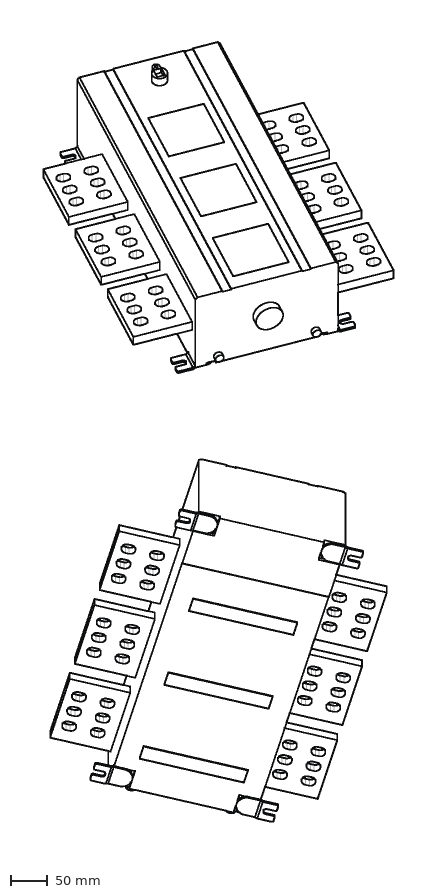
import cadquery as cq


overall_length = 472.5
boss_length = 11.5
body_length = overall_length - boss_length
body_width = 206.5
body_height = 133.0
top_edge_chamfer = 3.5
base_clearance = 1.65
end_foot_length = 85.0
rib_width = 21.0

groove_width = 12.8
groove_depth = 1.5
groove_offset = 57.5

pole_count = 3
pole_pitch = 125.5
bar_width = 100.0
bar_thickness = 15.0
bar_span = 376.5
bar_center_z = 69.5
first_pole_x = 147.5
label_size = 80.5
label_depth = 0.5
pole_positions = [first_pole_x + i * pole_pitch for i in range(pole_count)]

bolt_hole_width = 14.0
bolt_hole_length = 19.5
bolt_pitch_x = 25.0
bolt_pitch_y = 40.0
bolt_end_distance = 20.0
bolt_columns = 3
bolt_rows = 2

foot_width = 28.5
foot_thickness = 3.5
foot_rise = 2.0
foot_reach = 129.0
foot_inset = 30.0
foot_slope_length = 3.5
foot_tip_radius = 2.5
foot_slot_width = 8.5
foot_slot_depth = 18.0
left_foot_x = 15.5
right_foot_x = body_length - foot_width / 2
recess_size = foot_inset
rib_span = body_width - 2 * recess_size

boss_diameter = 39.0
boss_z = 70.0
button_diameter = 12.5
button_length = 6.5
button_offset = 70.5
button_z = 14.0

lock_x = 43.0
lock_diameter = 21.5
lock_height = 13.0
keyway_width = 11.5
keyway_left = 35.0
keyway_right = 49.0
keyway_depth = 8.0
nose_x = 30.0
nose_width = 10.5
nose_height = 9.0
eye_diameter = 4.0


def block(x_min, x_max, width_y, z_min, z_max):
    """Box centred on Y, given by its X and Z limits."""
    base = cq.Workplane("XY", origin=((x_min + x_max) / 2, 0, z_min))
    return base.rect(x_max - x_min, width_y).extrude(z_max - z_min)


def make_housing():
    housing = block(0, body_length, body_width, base_clearance, body_height)
    housing = housing.edges("|X and >Z").chamfer(top_edge_chamfer)
    housing = housing.union(block(0, end_foot_length, body_width, 0, base_clearance))
    for pole_x in pole_positions:
        rib = block(pole_x - rib_width / 2, pole_x + rib_width / 2, rib_span, 0, base_clearance)
        housing = housing.union(rib)
    for side in (-1, 1):
        groove = block(0, body_length, groove_width, body_height - groove_depth, body_height)
        housing = housing.cut(groove.translate((0, side * groove_offset, 0)))
    for pole_x in pole_positions:
        label_left = pole_x - label_size / 2
        label = block(label_left, label_left + label_size, label_size, body_height - label_depth, body_height)
        housing = housing.cut(label)
    return housing


def make_corner_recesses():
    """Four square pockets, one under each corner of the housing."""
    pocket_span = 2 * recess_size
    pocket_height = foot_rise + foot_thickness
    corners = cq.Workplane("XY").rect(body_length, body_width, forConstruction=True).vertices()
    pockets = corners.rect(pocket_span, pocket_span).extrude(pocket_height)
    return pockets.translate((body_length / 2, 0, 0))


def make_foot(center_x):
    """Foot on the +Y side: the inner part is raised, the outer part lies on the mounting plane."""
    wall_y = body_width / 2
    inner_y = wall_y - foot_inset
    slope_end_y = wall_y + foot_slope_length
    side_profile = [
        (inner_y, foot_rise),
        (wall_y, foot_rise),
        (slope_end_y, 0),
        (foot_reach, 0),
        (foot_reach, foot_thickness),
        (slope_end_y, foot_thickness),
        (wall_y, foot_rise + foot_thickness),
        (inner_y, foot_rise + foot_thickness),
    ]
    strap = cq.Workplane("YZ").polyline(side_profile).close().extrude(foot_width / 2, both=True)

    half_width = foot_width / 2
    cut_height = foot_rise + foot_thickness
    plan = (
        cq.Workplane("XY")
        .moveTo(-half_width, foot_reach)
        .lineTo(-half_width, inner_y + half_width)
        .threePointArc((0, inner_y), (half_width, inner_y + half_width))
        .lineTo(half_width, foot_reach)
        .close()
        .extrude(cut_height)
    )
    slot = (
        cq.Workplane("XY", origin=(0, foot_reach, 0))
        .slot2D(2 * foot_slot_depth, foot_slot_width, 90)
        .extrude(cut_height)
    )
    plan = plan.cut(slot).edges("|Z and >Y").fillet(foot_tip_radius)
    return strap.intersect(plan).translate((center_x, 0, 0))


def make_terminal_bar(pole_x):
    bar = block(
        pole_x - bar_width / 2,
        pole_x + bar_width / 2,
        bar_span,
        bar_center_z - bar_thickness / 2,
        bar_center_z + bar_thickness / 2,
    )
    group_y = bar_span / 2 - bolt_end_distance - bolt_pitch_y * (bolt_rows - 1) / 2
    for side in (-1, 1):
        holes = (
            cq.Workplane("XY", origin=(pole_x, side * group_y, 0))
            .rarray(bolt_pitch_x, bolt_pitch_y, bolt_columns, bolt_rows)
            .slot2D(bolt_hole_length, bolt_hole_width, 90)
            .extrude(body_height)
        )
        bar = bar.cut(holes)
    return bar


def make_end_cylinder(y, z, diameter, length):
    """Round projection on the right end of the housing."""
    return cq.Workplane("YZ", origin=(body_length, y, z)).circle(diameter / 2).extrude(length)


def make_lock():
    lock_top = body_height + lock_height
    lock = cq.Workplane("XY", origin=(lock_x, 0, body_height)).circle(lock_diameter / 2).extrude(lock_height)
    nose_plane = cq.Workplane("XY", origin=(nose_x, 0, lock_top))
    nose = nose_plane.circle(nose_width / 2).extrude(-nose_height)
    neck = block(nose_x, keyway_left, nose_width, lock_top - nose_height, lock_top)
    keyway = block(keyway_left, keyway_right, keyway_width, lock_top - keyway_depth, lock_top)
    eye = nose_plane.circle(eye_diameter / 2).extrude(-nose_height)
    return lock.union(nose).union(neck).cut(keyway).cut(eye)


result = make_housing().cut(make_corner_recesses())
for foot_x in (left_foot_x, right_foot_x):
    foot = make_foot(foot_x)
    result = result.union(foot).union(foot.mirror("XZ"))
for pole_x in pole_positions:
    result = result.union(make_terminal_bar(pole_x))
result = result.union(make_end_cylinder(0, boss_z, boss_diameter, boss_length))
for button_y in (-button_offset, button_offset):
    result = result.union(make_end_cylinder(button_y, button_z, button_diameter, button_length))
result = result.union(make_lock())